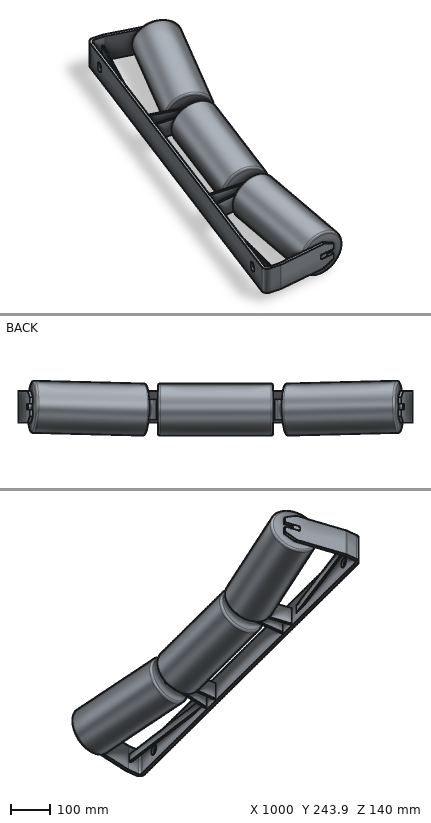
import cadquery as cq
import math

FRAME_LENGTH = 1000.0
FRAME_HEIGHT = 81.0
FRAME_THICKNESS = 8.0
FRAME_BEND_RADIUS = 15.0
ARM_BEND_Y = 46.0
ARM_TIP_Y = 212.0
ARM_TIP_HEIGHT = 48.0
ARM_TAPER_LENGTH = 31.0
MOUNT_SLOT_X = 432.0
MOUNT_SLOT_WIDTH = 20.0
MOUNT_SLOT_HEIGHT = 28.0

ROLLER_DIAMETER = 133.0
ROLLER_LENGTH = 292.0
ROLLER_EDGE_RADIUS = 6.0
SHAFT_DIAMETER = 21.0
SHAFT_FLAT_WIDTH = 15.0
MIDDLE_ROLLER_Y = 125.0
MIDDLE_ROLLER_Z = -7.0
WING_ROLLER_X = 322.0
WING_ROLLER_Y = 154.0
WING_ANGLE = 10.0
WING_TILT = 1.4

BRACKET_THICKNESS = 6.0
BRACKET_HEIGHT = 52.0
BRACKET_TOP_Y = 151.0
BRACKET_INNER_X = 150.0
BRACKET_FOOT_X = 196.0
BRACKET_BEND_RADIUS = 6.0

BRACE_THICKNESS = 5.0
BRACE_HEIGHT = 25.0
BRACE_ARM_Y = 42.0
BRACE_WEB_X = 216.0

SIDES = (-1, 1)
HALF_HEIGHT = FRAME_HEIGHT / 2
LEAN = math.radians(WING_ANGLE)
WING_RISE = ROLLER_LENGTH / 2 * math.sin(math.radians(WING_TILT))


def arm_face_x(y, inset):
    """X of the right arm's leaning face at height y, a given distance inside its outer face."""
    return FRAME_LENGTH / 2 - (y - ARM_BEND_Y) * math.tan(LEAN) - inset / math.cos(LEAN)


def bracket_lean_x(y, inset):
    """X of the right bracket's leaning leg at y, a given distance inside its outer face."""
    return BRACKET_FOOT_X - (y - FRAME_THICKNESS) * math.tan(LEAN) - inset / math.cos(LEAN)


def wing_reach(face_x, face_y):
    """Distance from the wing roller's middle, along its axis, to a face through the given point."""
    return abs((face_x - WING_ROLLER_X) * math.cos(LEAN) + (face_y - WING_ROLLER_Y) * math.sin(LEAN))


def place(body, side):
    """Move a body built along X about the origin to a wing roller's place."""
    return (
        body.rotate((0, 0, 0), (0, 1, 0), -side * WING_TILT)
        .rotate((0, 0, 0), (0, 0, 1), side * WING_ANGLE)
        .translate((side * WING_ROLLER_X, WING_ROLLER_Y, MIDDLE_ROLLER_Z + WING_RISE))
    )


def mirrored(body, side):
    """The right-hand body itself, or its mirror image for the left-hand side."""
    return body if side > 0 else body.mirror("YZ")


MIDDLE_SHAFT_REACH = BRACKET_INNER_X + BRACKET_THICKNESS
WING_OUTER_REACH = wing_reach(FRAME_LENGTH / 2, ARM_BEND_Y)
WING_INNER_REACH = wing_reach(bracket_lean_x(BRACKET_TOP_Y, BRACKET_THICKNESS), BRACKET_TOP_Y)


def make_shaft(start_x, end_x):
    """Shaft along X with two flats, top and bottom."""
    length = end_x - start_x
    middle_x = (start_x + end_x) / 2
    flats = cq.Workplane("XY").box(length, SHAFT_DIAMETER, SHAFT_FLAT_WIDTH).translate((middle_x, 0, 0))
    rod = cq.Workplane("YZ").workplane(offset=start_x).circle(SHAFT_DIAMETER / 2).extrude(length)
    return rod.intersect(flats)


def make_roller(start_x, end_x):
    """Drum along X about the origin, with its shaft from start_x to end_x."""
    drum = (
        cq.Workplane("YZ")
        .workplane(offset=-ROLLER_LENGTH / 2)
        .circle(ROLLER_DIAMETER / 2)
        .extrude(ROLLER_LENGTH)
        .faces("<X or >X")
        .edges()
        .fillet(ROLLER_EDGE_RADIUS)
    )
    return drum.union(make_shaft(start_x, end_x))


def make_shaft_slot(start_x, end_x):
    """Cutter for a slot that takes the shaft and is open towards +Y."""
    length = end_x - start_x
    opening = (
        cq.Workplane("XY")
        .box(length, ARM_TIP_Y, SHAFT_FLAT_WIDTH)
        .translate(((start_x + end_x) / 2, ARM_TIP_Y / 2, 0))
    )
    return make_shaft(start_x, end_x).union(opening)


def make_frame():
    """Bent strip with tapered arm tips, shaft slots and mounting slots."""
    half_length = FRAME_LENGTH / 2
    inner_bend_y = ARM_BEND_Y - FRAME_THICKNESS * math.tan(LEAN / 2)
    inner_tip_y = ARM_TIP_Y - FRAME_THICKNESS * math.sin(LEAN)
    right_half = (
        cq.Workplane("XY")
        .workplane(offset=-HALF_HEIGHT)
        .moveTo(0, 0)
        .lineTo(half_length - FRAME_BEND_RADIUS, 0)
        .radiusArc((half_length, FRAME_BEND_RADIUS), -FRAME_BEND_RADIUS)
        .lineTo(half_length, ARM_BEND_Y)
        .lineTo(arm_face_x(ARM_TIP_Y, 0), ARM_TIP_Y)
        .lineTo(arm_face_x(inner_tip_y, FRAME_THICKNESS), inner_tip_y)
        .lineTo(half_length - FRAME_THICKNESS, inner_bend_y)
        .lineTo(half_length - FRAME_THICKNESS, FRAME_BEND_RADIUS)
        .radiusArc((half_length - FRAME_BEND_RADIUS, FRAME_THICKNESS), FRAME_BEND_RADIUS - FRAME_THICKNESS)
        .lineTo(0, FRAME_THICKNESS)
        .close()
        .extrude(FRAME_HEIGHT)
    )
    outer_bend = cq.selectors.NearestToPointSelector((half_length, ARM_BEND_Y, 0))
    inner_bend = cq.selectors.NearestToPointSelector((half_length - FRAME_THICKNESS, inner_bend_y, 0))
    right_half = right_half.edges("|Z").edges(outer_bend).fillet(FRAME_BEND_RADIUS)
    right_half = right_half.edges("|Z").edges(inner_bend).fillet(FRAME_BEND_RADIUS - FRAME_THICKNESS)
    frame = right_half.union(right_half.mirror("YZ"))

    taper_y = ARM_TIP_Y - ARM_TAPER_LENGTH * math.cos(LEAN)
    side_outline = (
        cq.Workplane("YZ")
        .polyline([
            (0, -HALF_HEIGHT),
            (taper_y, -HALF_HEIGHT),
            (ARM_TIP_Y, -ARM_TIP_HEIGHT / 2),
            (ARM_TIP_Y, ARM_TIP_HEIGHT / 2),
            (taper_y, HALF_HEIGHT),
            (0, HALF_HEIGHT),
        ])
        .close()
        .extrude(half_length, both=True)
    )
    frame = frame.intersect(side_outline)

    mount_slots = (
        cq.Workplane("XZ")
        .pushPoints([(side * MOUNT_SLOT_X, 0) for side in SIDES])
        .slot2D(MOUNT_SLOT_HEIGHT, MOUNT_SLOT_WIDTH, 90)
        .extrude(-FRAME_THICKNESS)
    )
    frame = frame.cut(mount_slots)

    arm_slot = make_shaft_slot(ROLLER_LENGTH / 2, WING_OUTER_REACH + FRAME_THICKNESS)
    for side in SIDES:
        frame = frame.cut(place(mirrored(arm_slot, side), side))
    return frame


def make_bracket(side):
    """Folded strip with a straight leg, a leaning leg and holes for two shaft ends."""
    inner_top_y = BRACKET_TOP_Y - BRACKET_THICKNESS
    bracket = (
        cq.Workplane("XY")
        .workplane(offset=MIDDLE_ROLLER_Z - BRACKET_HEIGHT / 2)
        .polyline([
            (BRACKET_INNER_X, FRAME_THICKNESS),
            (BRACKET_INNER_X, BRACKET_TOP_Y),
            (bracket_lean_x(BRACKET_TOP_Y, 0), BRACKET_TOP_Y),
            (bracket_lean_x(FRAME_THICKNESS, 0), FRAME_THICKNESS),
            (bracket_lean_x(FRAME_THICKNESS, BRACKET_THICKNESS), FRAME_THICKNESS),
            (bracket_lean_x(inner_top_y, BRACKET_THICKNESS), inner_top_y),
            (BRACKET_INNER_X + BRACKET_THICKNESS, inner_top_y),
            (BRACKET_INNER_X + BRACKET_THICKNESS, FRAME_THICKNESS),
        ])
        .close()
        .extrude(BRACKET_HEIGHT)
        .edges("|Z and >Y")
        .fillet(BRACKET_BEND_RADIUS)
    )
    middle_shaft = make_shaft(-MIDDLE_SHAFT_REACH, MIDDLE_SHAFT_REACH)
    bracket = bracket.cut(middle_shaft.translate((0, MIDDLE_ROLLER_Y, MIDDLE_ROLLER_Z)))
    bracket = bracket.cut(place(make_shaft(-WING_INNER_REACH, 0), 1))
    return mirrored(bracket, side)


def make_brace(side):
    """Flat bar on edge, from the arm down to the web, cut flush with both."""
    arm_x = FRAME_LENGTH / 2 - FRAME_THICKNESS
    slope = (BRACE_ARM_Y - FRAME_THICKNESS) / (arm_x - BRACE_WEB_X)
    drop = BRACE_THICKNESS * math.hypot(1, slope)
    brace = (
        cq.Workplane("XY")
        .workplane(offset=-BRACE_HEIGHT / 2)
        .polyline([
            (BRACE_WEB_X, FRAME_THICKNESS),
            (arm_x, BRACE_ARM_Y),
            (arm_x, BRACE_ARM_Y - drop),
            (BRACE_WEB_X + drop / slope, FRAME_THICKNESS),
        ])
        .close()
        .extrude(BRACE_HEIGHT)
    )
    return mirrored(brace, side)


frame = make_frame()
brackets = [make_bracket(side) for side in SIDES]
braces = [make_brace(side) for side in SIDES]

middle_roller = make_roller(-MIDDLE_SHAFT_REACH, MIDDLE_SHAFT_REACH)
middle_roller = middle_roller.translate((0, MIDDLE_ROLLER_Y, MIDDLE_ROLLER_Z))
wing_roller = make_roller(-WING_INNER_REACH, WING_OUTER_REACH)
wing_rollers = [place(mirrored(wing_roller, side), side) for side in SIDES]

bodies = [frame, *brackets, *braces, middle_roller, *wing_rollers]
result = cq.Compound.makeCompound([body.solids().val() for body in bodies])